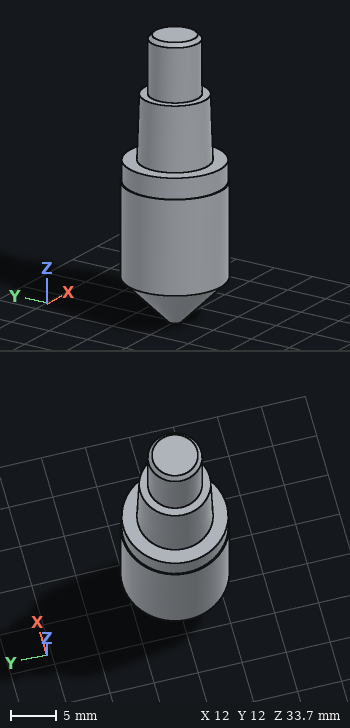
import cadquery as cq

body_diameter = 12.0
point_diameter = 1.55
cone_height = (body_diameter - point_diameter) / 2
body_top = 16.5

overall_height = 33.7
collar_diameter = 11.73
collar_top = 19.0
taper_base_diameter = 8.4
taper_top_diameter = 7.9
taper_top = 26.75
pin_diameter = 6.0
pin_chamfer = 0.47


def revolve_profile(points):
    """Turn a closed (radius, height) outline around the Z axis."""
    return cq.Workplane("XZ").polyline(points).close().revolve(360, (0, 0, 0), (0, 1, 0))


def make_tip():
    """Cylindrical body with a blunted conical point at its lower end."""
    return revolve_profile([
        (0, 0),
        (point_diameter / 2, 0),
        (body_diameter / 2, cone_height),
        (body_diameter / 2, body_top),
        (0, body_top),
    ])


def make_shank():
    """Collar, tapered neck and chamfered pin in one turned piece."""
    return revolve_profile([
        (0, body_top),
        (collar_diameter / 2, body_top),
        (collar_diameter / 2, collar_top),
        (taper_base_diameter / 2, collar_top),
        (taper_top_diameter / 2, taper_top),
        (pin_diameter / 2, taper_top),
        (pin_diameter / 2, overall_height - pin_chamfer),
        (pin_diameter / 2 - pin_chamfer, overall_height),
        (0, overall_height),
    ])


tip = make_tip()
shank = make_shank()

result = cq.Compound.makeCompound([tip.val(), shank.val()])